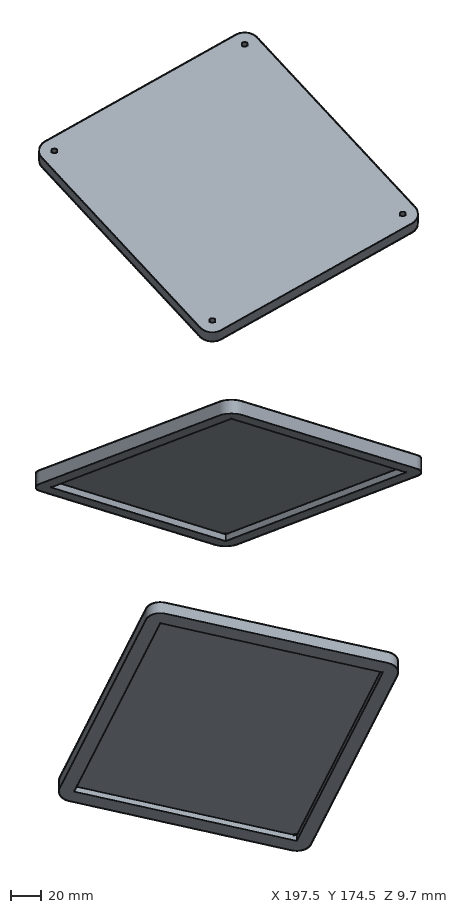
import cadquery as cq

length = 197.5
width = 174.5
thickness = 9.7
rim_width = 10.0
corner_radius = rim_width

top_skin = 5.0
cavity_length = length - 2 * rim_width
cavity_width = width - 2 * rim_width
cavity_depth = thickness - top_skin

hole_diameter = 4.0
hole_depth = top_skin
hole_spacing_x = length - 2 * corner_radius
hole_spacing_y = width - 2 * corner_radius


def rounded_plate():
    """Flat rectangular plate with rounded vertical corners, resting on Z = 0."""
    plate = cq.Workplane("XY").box(length, width, thickness, centered=(True, True, False))
    return plate.edges("|Z").fillet(corner_radius)


def underside_cavity():
    """Rectangular block to remove from the underside, up to the top skin."""
    return cq.Workplane("XY").rect(cavity_length, cavity_width).extrude(cavity_depth)


def corner_holes():
    """Four hole cutters from the top face; each lands partly on the rim and partly in the cavity."""
    return (
        cq.Workplane("XY", origin=(0, 0, thickness))
        .rect(hole_spacing_x, hole_spacing_y, forConstruction=True)
        .vertices()
        .circle(hole_diameter / 2)
        .extrude(-hole_depth)
    )


result = rounded_plate().cut(underside_cavity()).cut(corner_holes())